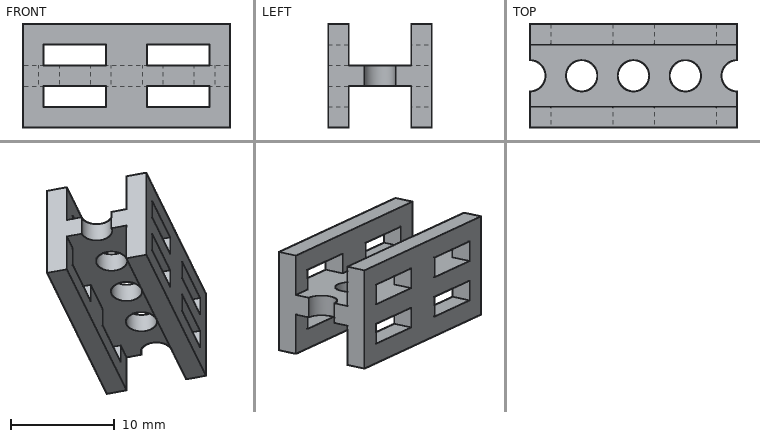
import cadquery as cq

length = 20.0
width = 10.0
height = 10.0
wall = 2.0

slot_length = 6.0
slot_height = 2.0
slot_spacing_x = 10.0
slot_spacing_z = wall + slot_height

hole_diameter = 3.0
hole_count = 5
hole_pitch = length / (hole_count - 1)


def h_profile():
    """Two upright side plates joined by a horizontal web at mid-height."""
    web = cq.Workplane("XY").box(length, width, wall)
    plate_offset = (width - wall) / 2
    for side in (-1, 1):
        plate = cq.Workplane("XY").box(length, wall, height)
        web = web.union(plate.translate((0, side * plate_offset, 0)))
    return web


def plate_slots():
    """Four rectangular cutters running across the full width."""
    return (
        cq.Workplane("XZ")
        .rarray(slot_spacing_x, slot_spacing_z, 2, 2)
        .rect(slot_length, slot_height)
        .extrude(width / 2, both=True)
    )


def web_holes():
    """Evenly spaced vertical cylinders along the middle of the web."""
    return (
        cq.Workplane("XY")
        .rarray(hole_pitch, 0.2, hole_count, 1)
        .circle(hole_diameter / 2)
        .extrude(wall / 2, both=True)
    )


result = h_profile().cut(plate_slots()).cut(web_holes())